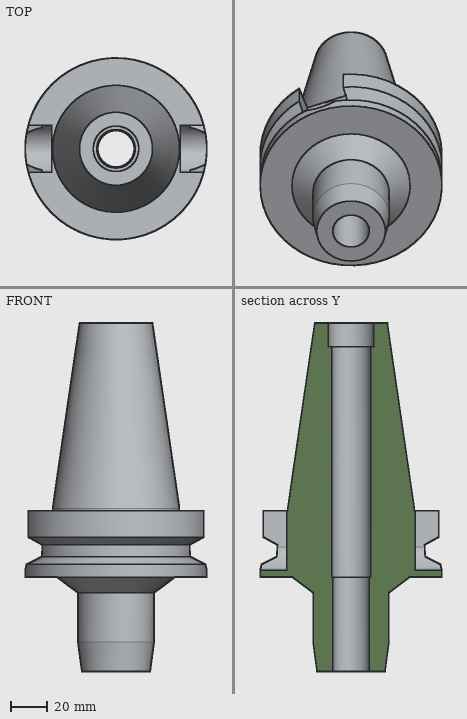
import cadquery as cq


gauge_diameter = 69.85
taper_length = 101.8
taper_rate = 7 / 24
taper_end_diameter = gauge_diameter - taper_length * taper_rate
gauge_to_flange = 1.5

flange_diameter = 100.0
flange_bottom_z = -38.0
groove_top_z = -16.0
groove_bottom_z = -31.0
groove_floor_diameter = 85.2
groove_floor_width = 6.5
groove_center_z = (groove_top_z + groove_bottom_z) / 2

slot_width = 25.7
slot_floor_distance = 35.4
slot_end_z = -34.2

nose_length = 90.0
nose_diameter = 42.0
nose_tip_diameter = 37.6
shoulder_diameter = 65.0
shoulder_end_z = -46.6
nose_taper_start_z = -73.7

counterbore_diameter = 25.0
counterbore_depth = 13.0
bore_diameter = 21.2
tool_bore_diameter = 20.0
tool_bore_depth = 52.0


def make_body():
    """Taper, flange and nose as one revolved profile of (radius, z) points."""
    groove_floor_radius = groove_floor_diameter / 2
    half_floor = groove_floor_width / 2
    profile = [
        (0, taper_length),
        (taper_end_diameter / 2, taper_length),
        (gauge_diameter / 2, 0),
        (gauge_diameter / 2, -gauge_to_flange),
        (flange_diameter / 2, -gauge_to_flange),
        (flange_diameter / 2, groove_top_z),
        (groove_floor_radius, groove_center_z + half_floor),
        (groove_floor_radius, groove_center_z - half_floor),
        (flange_diameter / 2, groove_bottom_z),
        (flange_diameter / 2, flange_bottom_z),
        (shoulder_diameter / 2, flange_bottom_z),
        (nose_diameter / 2, shoulder_end_z),
        (nose_diameter / 2, nose_taper_start_z),
        (nose_tip_diameter / 2, -nose_length),
        (0, -nose_length),
    ]
    return cq.Workplane("XZ").polyline(profile).close().revolve(360, (0, 0), (0, 1))


def make_drive_slot(side):
    """Cutter for a round-ended slot in the flange; side is +1 for +X and -1 for -X."""
    half_width = slot_width / 2
    arc_center_z = slot_end_z + half_width
    return (
        cq.Workplane("YZ", origin=(side * slot_floor_distance, 0, 0))
        .moveTo(-half_width, 0)
        .lineTo(-half_width, arc_center_z)
        .threePointArc((0, slot_end_z), (half_width, arc_center_z))
        .lineTo(half_width, 0)
        .close()
        .extrude(side * flange_diameter / 2)
    )


def make_cylinder(diameter, bottom_z, top_z):
    """Upright cylinder on the axis."""
    return cq.Workplane("XY", origin=(0, 0, bottom_z)).circle(diameter / 2).extrude(top_z - bottom_z)


def make_stepped_bore():
    """Through bore: counterbore at the taper end, clearance bore, then tool bore in the nose."""
    counterbore_floor_z = taper_length - counterbore_depth
    tool_bore_end_z = tool_bore_depth - nose_length
    tool_bore = make_cylinder(tool_bore_diameter, -nose_length, tool_bore_end_z)
    clearance_bore = make_cylinder(bore_diameter, tool_bore_end_z, counterbore_floor_z)
    counterbore = make_cylinder(counterbore_diameter, counterbore_floor_z, taper_length)
    return tool_bore.union(clearance_bore).union(counterbore)


result = make_body().cut(make_stepped_bore())
for slot_side in (1, -1):
    result = result.cut(make_drive_slot(slot_side))